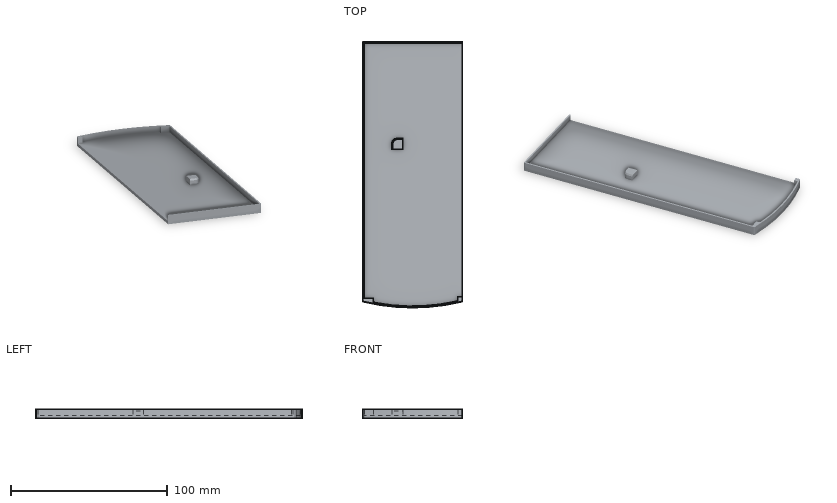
import cadquery as cq
import math

WIDTH = 64.0
LENGTH = 170.5
HEIGHT = 6.0
FRONT_BOW = 4.0
CORNER_RADIUS = 1.0

FLOOR_THICKNESS = 2.0
WALL = 1.0
BACK_INNER_RADIUS = 0.7

LEFT_BLOCK_WIDTH = 6.75
LEFT_BLOCK_DEPTH = 2.0
RIGHT_BLOCK_WIDTH = 3.0
RIGHT_BLOCK_DEPTH = 3.0
BLOCK_INNER_RADIUS = 1.2

BOSS_SIZE = 6.9
BOSS_RIGHT = -6.4
BOSS_BACK_OFFSET = 62.0
BOSS_RADIUS = 3.5
BOSS_CHAMFER_WIDTH = 0.6
BOSS_CHAMFER_ANGLE = 30.0

LEFT = -WIDTH / 2
RIGHT = WIDTH / 2
BACK = LENGTH / 2
FRONT = -LENGTH / 2
FRONT_CORNER = FRONT + FRONT_BOW
BOW_RADIUS = (RIGHT**2 + FRONT_BOW**2) / (2 * FRONT_BOW)
BOW_CENTER = FRONT + BOW_RADIUS


def box(left, right, front, back, bottom, top):
    """Axis-aligned box between the given planes."""
    size = (right - left, back - front, top - bottom)
    return cq.Workplane("XY").box(*size, centered=False).translate((left, front, bottom))


def make_slab():
    """Full-height slab with a bowed front edge; all corners but the back right are rounded."""
    slab = (
        cq.Workplane("XY")
        .moveTo(LEFT, BACK)
        .lineTo(LEFT, FRONT_CORNER)
        .threePointArc((0, FRONT), (RIGHT, FRONT_CORNER))
        .lineTo(RIGHT, BACK)
        .close()
        .extrude(HEIGHT)
    )
    return slab.edges("|Z").edges("<X or <Y").fillet(CORNER_RADIUS)


def make_pocket():
    """Space above the floor, open to the right and following the bowed front wall."""
    beyond_right = RIGHT + WALL
    space = box(LEFT + WALL, beyond_right, FRONT, BACK - WALL, FLOOR_THICKNESS, HEIGHT)
    space = space.edges("|Z and <X and >Y").fillet(BACK_INNER_RADIUS)
    inside_bow = (
        cq.Workplane("XY")
        .center(0, BOW_CENTER)
        .circle(BOW_RADIUS - WALL)
        .extrude(HEIGHT)
    )

    left_block_side = LEFT + LEFT_BLOCK_WIDTH
    right_block_side = RIGHT - RIGHT_BLOCK_WIDTH
    left_block = box(LEFT, left_block_side, FRONT, FRONT_CORNER + LEFT_BLOCK_DEPTH, 0, HEIGHT)
    right_block = box(
        right_block_side, beyond_right, FRONT, FRONT_CORNER + RIGHT_BLOCK_DEPTH, 0, HEIGHT
    )
    pocket = space.intersect(inside_bow).cut(left_block).cut(right_block)

    wall_corners = cq.selectors.BoxSelector(
        (LEFT, FRONT, 0), (RIGHT, FRONT_CORNER + WALL, HEIGHT)
    )
    return pocket.edges("|Z").edges(wall_corners).fillet(BLOCK_INNER_RADIUS)


def make_boss():
    """Boss with a rounded back-left corner, chamfered along its left and back sides only."""
    left = BOSS_RIGHT - BOSS_SIZE
    back = BACK - BOSS_BACK_OFFSET
    front = back - BOSS_SIZE
    chamfer_drop = BOSS_CHAMFER_WIDTH / math.tan(math.radians(BOSS_CHAMFER_ANGLE))

    far_right = BOSS_RIGHT + BOSS_SIZE
    far_front = front - BOSS_SIZE
    straight_part = (
        cq.Workplane("XY", origin=(0, 0, FLOOR_THICKNESS))
        .moveTo(far_right, back)
        .lineTo(left + BOSS_RADIUS, back)
        .radiusArc((left, back - BOSS_RADIUS), -BOSS_RADIUS)
        .lineTo(left, far_front)
        .lineTo(far_right, far_front)
        .close()
        .extrude(HEIGHT - chamfer_drop - FLOOR_THICKNESS)
    )
    top_outline = straight_part.faces(">Z").wires().toPending()
    chamfered = top_outline.extrude(chamfer_drop, taper=BOSS_CHAMFER_ANGLE)
    envelope = box(left, BOSS_RIGHT, front, back, FLOOR_THICKNESS, HEIGHT)
    return chamfered.intersect(envelope)


result = make_slab().cut(make_pocket()).union(make_boss())